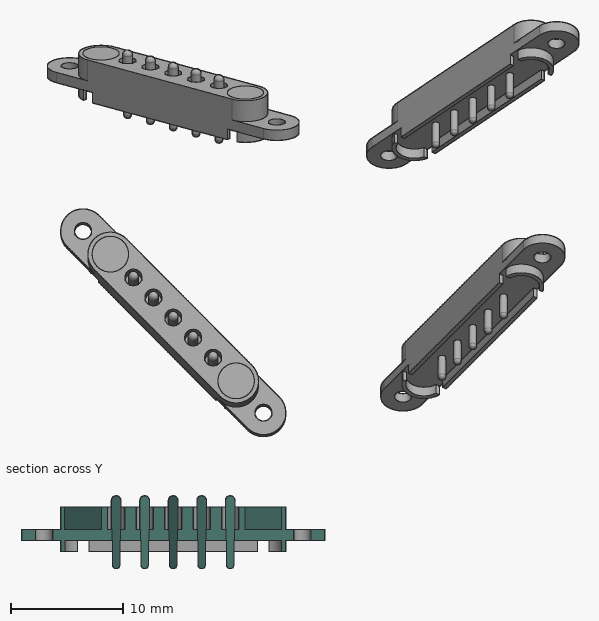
import cadquery as cq

length = 26.98
width = 4.0
end_radius = width / 2
skirt_height = 1.0
flange_thickness = 1.0
tower_height = 2.0
flange_top = skirt_height + flange_thickness
housing_top = flange_top + tower_height

ear_hole_x = length / 2 - end_radius
ear_hole_diameter = 1.5
tower_end_x = 8.0

skirt_wall = 0.38
side_wall_length = 15.0
foot_inner_x = 8.5

magnet_diameter = 3.25
magnet_height = tower_height

pin_count = 5
pin_pitch = 2.54
plunger_diameter = 0.9
tail_diameter = 0.7
plunger_projection = 1.0
tail_projection = 1.5
well_diameter = 1.5
well_floor = flange_top

pin_positions = [(i - (pin_count - 1) / 2) * pin_pitch for i in range(pin_count)]
magnet_positions = [-tower_end_x, tower_end_x]


def round_ended_bar(end_center_x, bottom, height, radius=end_radius):
    """Bar with semicircular ends centred at +/- end_center_x."""
    bar_length = 2 * (end_center_x + radius)
    return cq.Workplane("XY").workplane(offset=bottom).slot2D(bar_length, 2 * radius).extrude(height)


def cylinders(x_positions, diameter, bottom, height):
    """Vertical cylinders on the X axis."""
    points = [(x, 0) for x in x_positions]
    return cq.Workplane("XY").workplane(offset=bottom).pushPoints(points).circle(diameter / 2).extrude(height)


def make_skirt():
    """Rim around the open underside, notched on both sides near each end."""
    outer = round_ended_bar(tower_end_x, 0, skirt_height)
    cavity = round_ended_bar(tower_end_x, 0, skirt_height, end_radius - skirt_wall)
    notch_width = foot_inner_x - side_wall_length / 2
    notch_x = (foot_inner_x + side_wall_length / 2) / 2
    notches = (
        cq.Workplane("XY")
        .pushPoints([(-notch_x, 0), (notch_x, 0)])
        .rect(notch_width, width)
        .extrude(skirt_height)
    )
    return outer.cut(cavity).cut(notches)


def make_housing():
    flange = round_ended_bar(ear_hole_x, skirt_height, flange_thickness)
    tower = round_ended_bar(tower_end_x, flange_top, tower_height)
    body = flange.union(tower).union(make_skirt())

    body = body.cut(cylinders([-ear_hole_x, ear_hole_x], ear_hole_diameter, skirt_height, flange_thickness))
    body = body.cut(cylinders(magnet_positions, magnet_diameter, housing_top - magnet_height, magnet_height))
    body = body.cut(cylinders(pin_positions, well_diameter, well_floor, housing_top - well_floor))
    return body.cut(cylinders(pin_positions, tail_diameter, skirt_height, well_floor - skirt_height))


def make_magnet(x):
    return cylinders([x], magnet_diameter, housing_top - magnet_height, magnet_height)


def make_pin(x):
    """Stepped pin with hemispherical ends; its shoulder rests on the well floor."""
    plunger_radius = plunger_diameter / 2
    tail_radius = tail_diameter / 2
    plunger_height = housing_top + plunger_projection - well_floor
    tail_height = well_floor + tail_projection
    plunger = cylinders([x], plunger_diameter, well_floor, plunger_height - plunger_radius)
    tail = cylinders([x], tail_diameter, tail_radius - tail_projection, tail_height - tail_radius)
    plunger_dome_z = well_floor + plunger_height - plunger_radius
    tail_dome_z = tail_radius - tail_projection
    plunger_dome = cq.Workplane("XY").sphere(plunger_radius).translate((x, 0, plunger_dome_z))
    tail_dome = cq.Workplane("XY").sphere(tail_radius).translate((x, 0, tail_dome_z))
    return plunger.union(tail).union(plunger_dome).union(tail_dome)


housing = make_housing()
magnets = [make_magnet(x) for x in magnet_positions]
pins = [make_pin(x) for x in pin_positions]

result = cq.Compound.makeCompound([
    housing.solids().val(),
    *[magnet.solids().val() for magnet in magnets],
    *[pin.solids().val() for pin in pins],
])